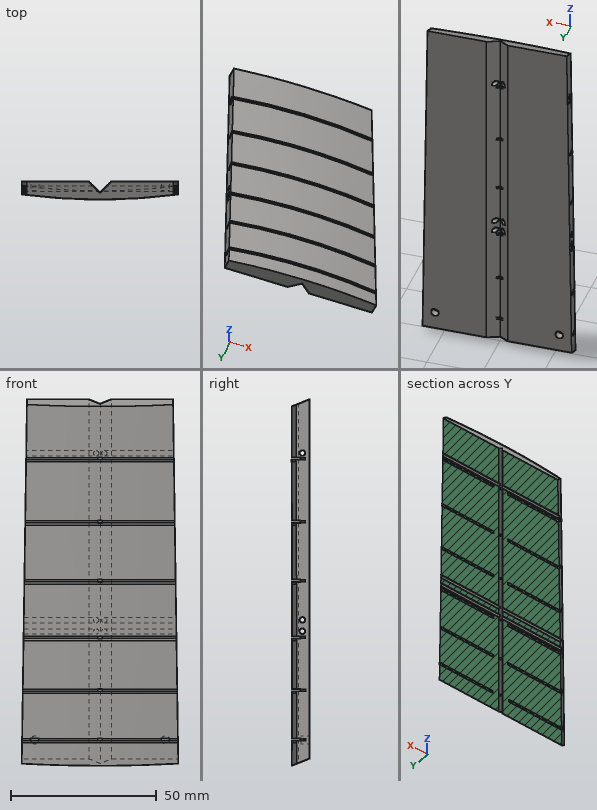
import cadquery as cq
import math

HEIGHT = 125.85
THICKNESS = 6.3
BOTTOM_WIDTH = 53.8
TOP_WIDTH = 50.2
SIDE_THICKNESS = 4.4
BEVEL_ANGLE = 22.0

SLOT_CENTER_HEIGHTS = (9.0, 26.0, 44.1, 63.5, 83.75, 105.45)
SLOT_WIDTH = 0.75
SLOT_DEPTH = 3.0
LIP_PROJECTION = 0.1
LIP_WIDTH = 0.75

GROOVE_DEPTH = 3.9
GROOVE_HALF_WIDTH = GROOVE_DEPTH

CROSS_HOLE_DIAMETER = 1.85
CROSS_HOLE_DEPTH = 2.5
CROSS_HOLE_HEIGHTS = (46.2, 50.1, 107.35)

BACK_HOLE_DIAMETER = 2.75
BACK_HOLE_OFFSET = 22.4
BACK_HOLE_DEPTH = 3.0

FACE_THICKNESS = THICKNESS - LIP_PROJECTION
SAGITTA = FACE_THICKNESS - SIDE_THICKNESS
FRONT_RADIUS = ((BOTTOM_WIDTH / 2) ** 2 + SAGITTA ** 2) / (2 * SAGITTA)
FRONT_AXIS_Y = FRONT_RADIUS - FACE_THICKNESS

BEVEL_SLOPE = math.tan(math.radians(BEVEL_ANGLE))
BEVEL_DROP = FACE_THICKNESS * BEVEL_SLOPE
SIDE_BOTTOM = SAGITTA * BEVEL_SLOPE
CLEARANCE = 1.0


def ring_band(inner_radius, outer_radius, bottom, top):
    """Flat ring around the axis of the front face."""
    return (
        cq.Workplane("XY", origin=(0, FRONT_AXIS_Y, bottom))
        .circle(outer_radius)
        .circle(inner_radius)
        .extrude(top - bottom)
    )


def make_outline():
    """Tapered plate, narrowing upward, deep enough to hold the whole part."""
    half_bottom = BOTTOM_WIDTH / 2
    half_top = TOP_WIDTH / 2
    return (
        cq.Workplane("XZ")
        .moveTo(-half_bottom, 0)
        .lineTo(half_bottom, 0)
        .lineTo(half_bottom, SIDE_BOTTOM)
        .lineTo(half_top, HEIGHT)
        .lineTo(-half_top, HEIGHT)
        .lineTo(-half_bottom, SIDE_BOTTOM)
        .close()
        .extrude(THICKNESS)
    )


def make_body(outline):
    """Outline limited by the two parallel end bevels and the curved front."""
    side_profile = (
        cq.Workplane("YZ")
        .moveTo(0, BEVEL_DROP)
        .lineTo(-FACE_THICKNESS, 0)
        .lineTo(-FACE_THICKNESS, HEIGHT - BEVEL_DROP)
        .lineTo(0, HEIGHT)
        .close()
        .extrude(BOTTOM_WIDTH / 2, both=True)
    )
    front_cylinder = cq.Workplane("XY", origin=(0, FRONT_AXIS_Y, 0)).circle(FRONT_RADIUS).extrude(HEIGHT)
    return outline.intersect(side_profile).intersect(front_cylinder)


def make_lip(slot_height, outline):
    top = slot_height - SLOT_WIDTH / 2
    band = ring_band(FRONT_RADIUS - SLOT_DEPTH, FRONT_RADIUS + LIP_PROJECTION, top - LIP_WIDTH, top)
    return band.intersect(outline)


def make_slot(slot_height):
    bottom = slot_height - SLOT_WIDTH / 2
    return ring_band(FRONT_RADIUS - SLOT_DEPTH, FRONT_RADIUS + CLEARANCE, bottom, bottom + SLOT_WIDTH)


def make_groove():
    return (
        cq.Workplane("XY")
        .moveTo(-GROOVE_HALF_WIDTH, 0)
        .lineTo(0, -GROOVE_DEPTH)
        .lineTo(GROOVE_HALF_WIDTH, 0)
        .close()
        .extrude(HEIGHT)
    )


def make_cross_holes():
    return (
        cq.Workplane("YZ")
        .pushPoints([(-CROSS_HOLE_DEPTH, height) for height in CROSS_HOLE_HEIGHTS])
        .circle(CROSS_HOLE_DIAMETER / 2)
        .extrude(BOTTOM_WIDTH / 2, both=True)
    )


def make_back_holes():
    lowest_slot = SLOT_CENTER_HEIGHTS[0]
    return (
        cq.Workplane("XZ")
        .pushPoints([(-BACK_HOLE_OFFSET, lowest_slot), (BACK_HOLE_OFFSET, lowest_slot)])
        .circle(BACK_HOLE_DIAMETER / 2)
        .extrude(BACK_HOLE_DEPTH)
    )


plate_outline = make_outline()
result = make_body(plate_outline)
for height in SLOT_CENTER_HEIGHTS:
    result = result.union(make_lip(height, plate_outline))
    result = result.cut(make_slot(height))
result = result.cut(make_groove())
result = result.cut(make_cross_holes())
result = result.cut(make_back_holes())